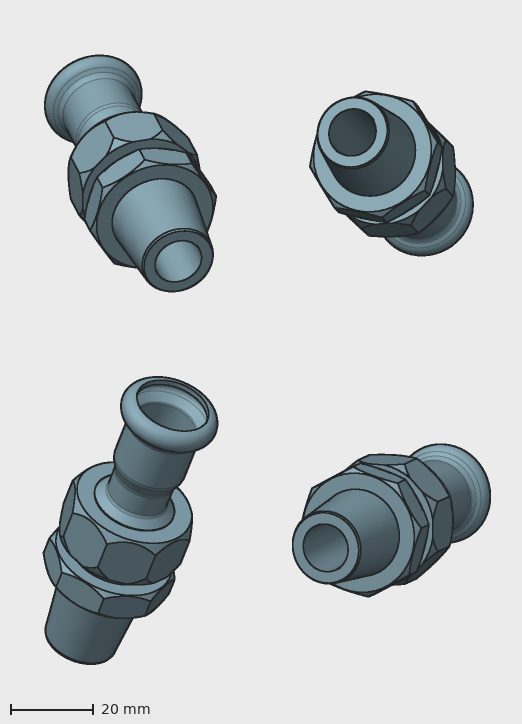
import cadquery as cq
import math

total_length = 77.0
bore_radius = 5.85

wall = 1.5
bead_radius = 3.0
bead_centre_radius = 9.1
bead_lean_angle = math.radians(55)
bead_blend_radius = 1.9
socket_mouth_blend = 0.5
socket_outer_radius = 9.0
socket_bore_radius = socket_outer_radius - wall
neck_outer_radius = 7.55
taper_angle = math.radians(23)
outer_taper_start = 19.5
inner_taper_start = 19.4
taper_blend_radius = 2.7
collar_cone_start = 29.6
collar_cone_end = 31.65
collar_radius = 10.1
collar_blend_radius = 0.9
flange_start = 34.65
joint_position = 36.95

octagon_sides = 8
facet_half_angle = 180 / octagon_sides
octagon_flats = 29.6
octagon_corner_radius = octagon_flats / 2 / math.cos(math.radians(facet_half_angle))
nut_start = 31.9
nut_end = 45.1
nut_front_radius = 14.5
nut_front_chamfer_angle = 30.0
nut_back_radius = 14.9
nut_back_chamfer_angle = 19.0
thread_radius = 11.5

spigot_radius = 10.85
spigot_start = 45.5
flats_start = 48.9
flats_end = 56.45
flats_end_radius = 14.6
flats_chamfer_angle = 45.0
flats_turn_angle = 30.0
taper_large_radius = 10.7
taper_small_radius = 8.9
tip_chamfer_length = 0.6
tip_chamfer_depth = 0.3


def revolve_about_x(outline):
    """Turn a closed outline of (X, radius) points around the X axis."""
    return outline.close().revolve(360, (0, 0, 0), (1, 0, 0))


def fillet_circle(body, x, radius, fillet_radius):
    """Round the circular edge of the given radius that is centred at X = x."""
    tolerance = 0.001
    edges = [
        edge
        for edge in body.edges("%CIRCLE").vals()
        if abs(edge.Center().x - x) < tolerance and abs(edge.radius() - radius) < tolerance
    ]
    return body.newObject(edges).fillet(fillet_radius)


def bead_point(section_radius, angle):
    """Point of the bead's section circle, at an angle from the outward radial direction towards +X."""
    x = bead_radius + section_radius * math.sin(angle)
    radius = bead_centre_radius + section_radius * math.cos(angle)
    return (x, radius)


def cone_foot(point, radius):
    """X where the cone that leaves the bead at the given point reaches a radius."""
    return point[0] + (point[1] - radius) / math.tan(bead_lean_angle)


def make_press_pipe():
    groove_radius = bead_radius - wall
    bead_top = bead_point(bead_radius, 0)
    bead_end = bead_point(bead_radius, bead_lean_angle)
    groove_top = bead_point(groove_radius, 0)
    groove_end = bead_point(groove_radius, bead_lean_angle)
    socket_start = cone_foot(bead_end, socket_outer_radius)
    socket_bore_start = cone_foot(groove_end, socket_bore_radius)
    outer_taper_end = outer_taper_start + (socket_outer_radius - neck_outer_radius) / math.tan(taper_angle)
    inner_taper_end = inner_taper_start + (socket_bore_radius - bore_radius) / math.tan(taper_angle)

    outline = (
        cq.Workplane("XY")
        .moveTo(0, bead_centre_radius)
        .threePointArc(bead_top, bead_end)
        .lineTo(socket_start, socket_outer_radius)
        .lineTo(outer_taper_start, socket_outer_radius)
        .lineTo(outer_taper_end, neck_outer_radius)
        .lineTo(collar_cone_start, neck_outer_radius)
        .lineTo(collar_cone_end, collar_radius)
        .lineTo(flange_start, collar_radius)
        .lineTo(flange_start, thread_radius)
        .lineTo(joint_position, thread_radius)
        .lineTo(joint_position, bore_radius)
        .lineTo(inner_taper_end, bore_radius)
        .lineTo(inner_taper_start, socket_bore_radius)
        .lineTo(socket_bore_start, socket_bore_radius)
        .lineTo(*groove_end)
        .threePointArc(groove_top, (wall, bead_centre_radius))
    )
    pipe = revolve_about_x(outline)

    rounded_circles = [
        (socket_start, socket_outer_radius, bead_blend_radius),
        (outer_taper_start, socket_outer_radius, taper_blend_radius),
        (outer_taper_end, neck_outer_radius, taper_blend_radius),
        (collar_cone_start, neck_outer_radius, collar_blend_radius),
        (socket_bore_start, socket_bore_radius, socket_mouth_blend),
        (inner_taper_start, socket_bore_radius, taper_blend_radius),
        (inner_taper_end, bore_radius, taper_blend_radius),
    ]
    for x, radius, fillet_radius in rounded_circles:
        pipe = fillet_circle(pipe, x, radius, fillet_radius)
    return pipe


def make_octagon(start, end, start_radius, start_angle, end_radius, end_angle, turn):
    """Octagonal bar along X whose corners are turned down to a cone at each end."""
    prism = (
        cq.Workplane("YZ", origin=(start, 0, 0))
        .polygon(octagon_sides, 2 * octagon_corner_radius)
        .extrude(end - start)
        .rotate((0, 0, 0), (1, 0, 0), facet_half_angle + turn)
    )
    start_length = (octagon_corner_radius - start_radius) / math.tan(math.radians(start_angle))
    end_length = (octagon_corner_radius - end_radius) / math.tan(math.radians(end_angle))
    turned_blank = revolve_about_x(
        cq.Workplane("XY")
        .moveTo(start, 0)
        .lineTo(start, start_radius)
        .lineTo(start + start_length, octagon_corner_radius)
        .lineTo(end - end_length, octagon_corner_radius)
        .lineTo(end, end_radius)
        .lineTo(end, 0)
    )
    return prism.intersect(turned_blank)


def make_union_nut():
    blank = make_octagon(
        nut_start, nut_end,
        nut_front_radius, nut_front_chamfer_angle,
        nut_back_radius, nut_back_chamfer_angle,
        0,
    )
    cavity = revolve_about_x(
        cq.Workplane("XY")
        .moveTo(nut_start, 0)
        .lineTo(nut_start, collar_radius)
        .lineTo(flange_start, collar_radius)
        .lineTo(flange_start, thread_radius)
        .lineTo(nut_end, thread_radius)
        .lineTo(nut_end, 0)
    )
    return blank.cut(cavity)


def make_male_adapter():
    thread_end = spigot_start - (thread_radius - spigot_radius)
    turned = revolve_about_x(
        cq.Workplane("XY")
        .moveTo(joint_position, 0)
        .lineTo(joint_position, thread_radius)
        .lineTo(thread_end, thread_radius)
        .lineTo(spigot_start, spigot_radius)
        .lineTo(flats_start, spigot_radius)
        .lineTo(flats_end, taper_large_radius)
        .lineTo(total_length - tip_chamfer_length, taper_small_radius)
        .lineTo(total_length, taper_small_radius - tip_chamfer_depth)
        .lineTo(total_length, 0)
    )
    flats = make_octagon(
        flats_start, flats_end,
        flats_end_radius, flats_chamfer_angle,
        flats_end_radius, flats_chamfer_angle,
        flats_turn_angle,
    )
    bore = (
        cq.Workplane("YZ", origin=(joint_position, 0, 0))
        .circle(bore_radius)
        .extrude(total_length - joint_position)
    )
    return turned.union(flats).cut(bore)


press_pipe = make_press_pipe()
union_nut = make_union_nut()
male_adapter = make_male_adapter()

result = cq.Compound.makeCompound([press_pipe.val(), union_nut.val(), male_adapter.val()])